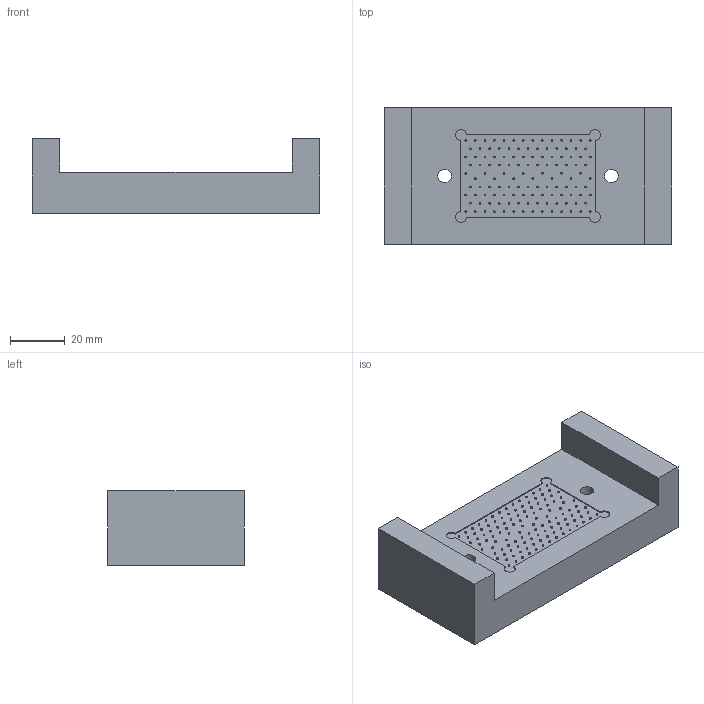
import cadquery as cq

LENGTH = 105.0
WIDTH = 50.0
HEIGHT = 27.1
FLOOR_HEIGHT = 15.0
END_WALL_THICKNESS = 10.0
CHANNEL_LENGTH = LENGTH - 2 * END_WALL_THICKNESS

MOUNT_DIAMETER = 5.0
MOUNT_SPACING = 60.94

POCKET_LENGTH = 49.0
POCKET_WIDTH = 30.0
POCKET_DEPTH = 0.4
RELIEF_DIAMETER = 4.0

PIN_DIAMETER = 0.6
PIN_HEIGHT = POCKET_DEPTH
PIN_ROOT_DEPTH = 0.2
PIN_PITCH = 3.5
PIN_COLUMNS = 14
ROW_PITCH = 3.0
INNER_ROW_Y = 0.99
SHIFTED_ROWS = (1, 3)
FULL_ROWS = (2, 4)


def centered_row(count, y):
    """Points of one row of pins, centred on the middle of the part."""
    first_x = -(count - 1) * PIN_PITCH / 2
    return [(first_x + i * PIN_PITCH, y) for i in range(count)]


def pin_points():
    """Two sparse middle rows, then alternating shifted and full rows on each side."""
    points = centered_row(PIN_COLUMNS, INNER_ROW_Y)[0::2]
    points += centered_row(PIN_COLUMNS, -INNER_ROW_Y)[1::2]
    for rows, count in ((SHIFTED_ROWS, PIN_COLUMNS - 1), (FULL_ROWS, PIN_COLUMNS)):
        for row in rows:
            y = INNER_ROW_Y + row * ROW_PITCH
            points += centered_row(count, y) + centered_row(count, -y)
    return points


def make_block():
    block = cq.Workplane("XY").box(LENGTH, WIDTH, HEIGHT, centered=(True, True, False))
    channel = (
        cq.Workplane("XY", origin=(0, 0, FLOOR_HEIGHT))
        .box(CHANNEL_LENGTH, WIDTH, HEIGHT - FLOOR_HEIGHT, centered=(True, True, False))
    )
    return block.cut(channel)


def make_mount_holes():
    return (
        cq.Workplane("XY")
        .pushPoints([(-MOUNT_SPACING / 2, 0), (MOUNT_SPACING / 2, 0)])
        .circle(MOUNT_DIAMETER / 2)
        .extrude(FLOOR_HEIGHT)
    )


def make_pocket():
    floor = cq.Workplane("XY", origin=(0, 0, FLOOR_HEIGHT - POCKET_DEPTH))
    recess = floor.rect(POCKET_LENGTH, POCKET_WIDTH).extrude(POCKET_DEPTH)
    reliefs = (
        floor.rect(POCKET_LENGTH, POCKET_WIDTH, forConstruction=True)
        .vertices()
        .circle(RELIEF_DIAMETER / 2)
        .extrude(POCKET_DEPTH)
    )
    return recess.union(reliefs)


def make_pins():
    root_z = FLOOR_HEIGHT - POCKET_DEPTH - PIN_ROOT_DEPTH
    return (
        cq.Workplane("XY", origin=(0, 0, root_z))
        .pushPoints(pin_points())
        .circle(PIN_DIAMETER / 2)
        .extrude(PIN_ROOT_DEPTH + PIN_HEIGHT)
    )


result = (
    make_block()
    .cut(make_mount_holes())
    .cut(make_pocket())
    .union(make_pins())
)